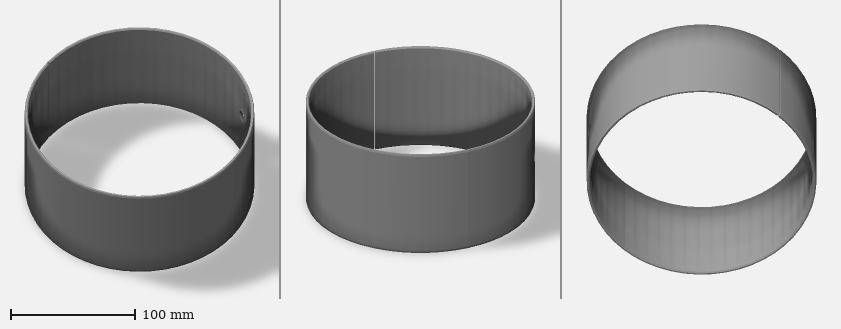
import cadquery as cq

outer_diameter = 185.0
wall = 2.5
height = 90.0

outer_bevel_height = 1.7
outer_bevel_depth = 0.5
inner_bevel = 1.0

slit_width = 1.5

hole_diameter = 10.0
hole_angle = 59.0

outer_radius = outer_diameter / 2
inner_radius = outer_radius - wall


def make_ring():
    """Revolve the wall section, bevelled at all four rims."""
    rim_outer = outer_radius - outer_bevel_depth
    rim_inner = inner_radius + inner_bevel
    section = [
        (rim_inner, 0),
        (rim_outer, 0),
        (outer_radius, outer_bevel_height),
        (outer_radius, height - outer_bevel_height),
        (rim_outer, height),
        (rim_inner, height),
        (inner_radius, height - inner_bevel),
        (inner_radius, inner_bevel),
    ]
    return cq.Workplane("XZ").polyline(section).close().revolve(360, (0, 0, 0), (0, 1, 0))


def make_slit():
    """Full-height cutter that reaches from the axis past the -X wall."""
    return cq.Workplane("XY").box(outer_diameter, slit_width, height, centered=False).translate(
        (-outer_diameter, 0, 0)
    )


def make_hole():
    """Radial cutter that reaches from the axis past one wall."""
    drill = cq.Workplane("YZ").center(0, height / 2).circle(hole_diameter / 2).extrude(outer_diameter)
    return drill.rotate((0, 0, 0), (0, 0, 1), hole_angle)


result = make_ring().cut(make_slit()).cut(make_hole())